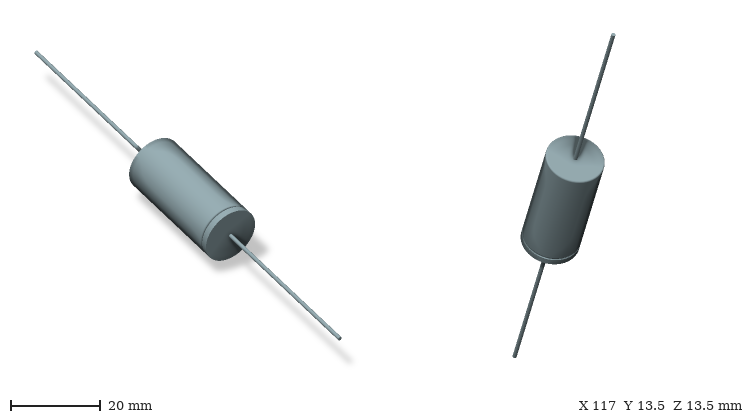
import cadquery as cq

overall_length = 117.0
body_diameter = 13.5
left_lead_length = 45.0
lead_diameter = 0.9

can_length = 29.8
disc_thickness = 1.5
neck_length = 0.4
rim_radius = 0.4

can_start = left_lead_length - overall_length / 2
body_length = can_length - neck_length - disc_thickness
neck_diameter = body_diameter - 2 * rim_radius


def cylinder_along_x(start, length, diameter):
    """Solid cylinder whose axis is X, beginning at the given X position."""
    return cq.Workplane("YZ", origin=(start, 0, 0)).circle(diameter / 2).extrude(length)


def make_body():
    body = cylinder_along_x(can_start, body_length, body_diameter)
    return body.faces("<X or >X").edges().fillet(rim_radius)


def make_neck():
    return cylinder_along_x(can_start + body_length, neck_length, neck_diameter)


def make_end_disc():
    disc_start = can_start + body_length + neck_length
    return cylinder_along_x(disc_start, disc_thickness, body_diameter)


def make_lead():
    """Single wire running through the can and out of both ends."""
    return cylinder_along_x(-overall_length / 2, overall_length, lead_diameter)


result = make_body().union(make_neck()).union(make_end_disc()).union(make_lead())